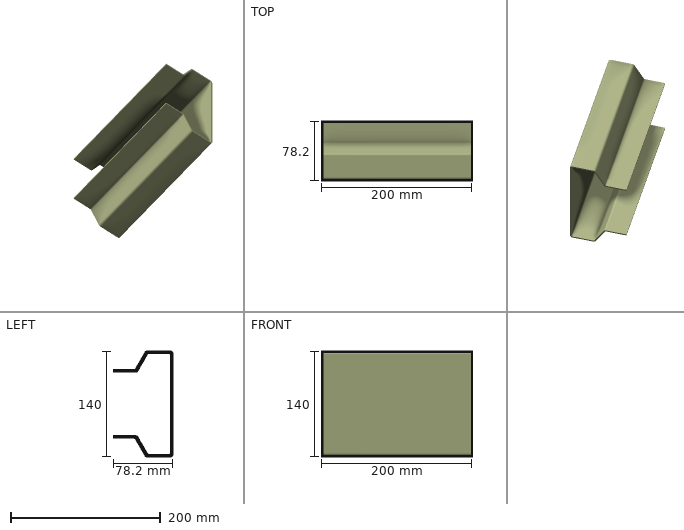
import cadquery as cq
import math

length = 200.0
height = 140.0
depth = 78.2
thickness = 2.0
outer_radius = 4.0
lip_length = 27.8
lip_drop = 25.0
joggle_angle = 60.0

middle_radius = outer_radius - thickness / 2
joggle_radians = math.radians(joggle_angle)
joggle_setback = middle_radius * math.tan(joggle_radians / 2)
joggle_flat = lip_drop / math.sin(joggle_radians) - 2 * joggle_setback
joggle_run = lip_drop / math.tan(joggle_radians) + 2 * joggle_setback
flange_flat = depth - outer_radius - joggle_run - lip_length
web_flat = height - 2 * outer_radius

flats = [lip_length, joggle_flat, flange_flat, web_flat, flange_flat, joggle_flat, lip_length]
bends = [-joggle_angle, joggle_angle, 90, 90, joggle_angle, -joggle_angle]
start_y = depth / 2
start_z = height / 2 - lip_drop - thickness / 2
start_heading = 180.0


def beside(point, heading, distance):
    """Point at a distance to the left of a heading in the YZ plane."""
    angle = math.radians(heading)
    return (point[0] - distance * math.sin(angle), point[1] + distance * math.cos(angle))


def ahead(point, heading, distance):
    """Point at a distance along a heading in the YZ plane."""
    return beside(point, heading - 90, distance)


def sheet_strip():
    """Bent sheet section, one face traced forward and the other traced back."""
    point = (start_y, start_z)
    heading = start_heading
    half = thickness / 2
    left_start = beside(point, heading, half)
    right_start = beside(point, heading, -half)
    section = cq.Workplane("YZ", origin=(-length / 2, 0, 0)).moveTo(*left_start)
    right_arcs = []
    for flat, bend in zip(flats, bends):
        bend_start = ahead(point, heading, flat)
        turn = math.copysign(1, bend)
        center = beside(bend_start, heading, turn * middle_radius)
        headings = (heading, heading + bend / 2, heading + bend)
        left_arc = [beside(center, h, half - turn * middle_radius) for h in headings]
        right_arcs.append([beside(center, h, -half - turn * middle_radius) for h in headings])
        section = section.lineTo(*left_arc[0]).threePointArc(*left_arc[1:])
        heading += bend
        point = beside(center, heading, -turn * middle_radius)

    end = ahead(point, heading, flats[-1])
    section = section.lineTo(*beside(end, heading, half)).lineTo(*beside(end, heading, -half))
    for arc_start, arc_middle, arc_end in reversed(right_arcs):
        section = section.lineTo(*arc_end).threePointArc(arc_middle, arc_start)
    return section.lineTo(*right_start).close()


result = sheet_strip().extrude(length)